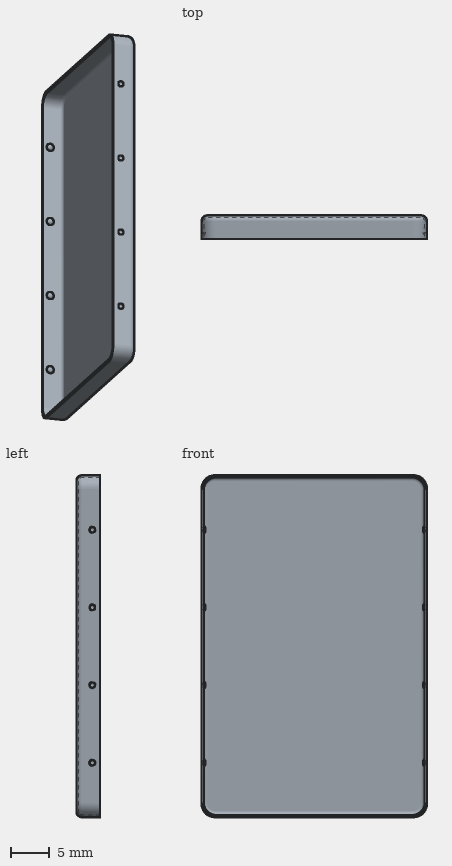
import cadquery as cq

width = 29.0
depth = 3.1
height = 44.0

wall = 0.3
corner_radius = 1.8
back_edge_radius = 0.8
inner_edge_radius = back_edge_radius - wall

dimple_diameter = 0.7
dimple_depth = 0.2
bump_diameter = 0.95
bump_height = 0.2
bump_pitch = 10.0
bump_count = 4
bump_from_rim = 1.0


def rounded_block(size_x, size_y, size_z, upright_radius, back_radius):
    """Block with its front face on Y = 0, rounded corners and a rounded back edge."""
    block = cq.Workplane("XY").box(size_x, size_y, size_z, centered=(True, False, True))
    block = block.edges("|Y").fillet(upright_radius)
    return block.faces(">Y").edges().fillet(back_radius)


def cap_ball(side, face_x, z, cap_diameter, cap_height):
    """Ball whose cap stands inwards of the plane X = side * face_x, with side -1 or +1."""
    radius = (cap_diameter**2 / 4 + cap_height**2) / (2 * cap_height)
    centre_x = side * (face_x + radius - cap_height)
    centre = (centre_x, bump_from_rim, z)
    return cq.Workplane(cq.Plane(centre, xDir=(0, 0, 1), normal=(0, 1, 0))).sphere(radius)


shell = rounded_block(width, depth, height, corner_radius, back_edge_radius)
cavity = rounded_block(
    width - 2 * wall, depth - wall, height - 2 * wall, corner_radius - wall, inner_edge_radius
)
first_bump_z = -bump_pitch * (bump_count - 1) / 2
for side in (-1, 1):
    for i in range(bump_count):
        bump_z = first_bump_z + i * bump_pitch
        cavity = cavity.cut(cap_ball(side, width / 2 - wall, bump_z, bump_diameter, bump_height))
        shell = shell.cut(cap_ball(side, width / 2, bump_z, dimple_diameter, dimple_depth))

result = shell.cut(cavity)